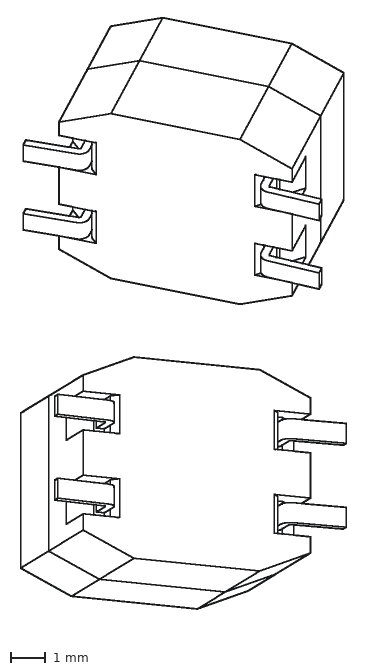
import cadquery as cq
import math

OVERALL_X = 9.0
LEAD_STANDOFF = 0.405

BODY_WIDTH = 7.09
BODY_HEIGHT = 6.0
BODY_DEPTH = 4.8
TOP_FLAT_WIDTH = 3.92
SIDE_FLAT_HEIGHT = 4.63
COVER_DEPTH = 2.15
BASE_DEPTH = BODY_DEPTH - COVER_DEPTH

LEAD_PITCH = 2.5
POCKET_HEIGHT = 1.15
POCKET_REACH = 1.13
WALL_REACH = 0.94
SLOPE_REACH = 0.6
MOUTH_DEPTH = 1.29
FLOOR_DEPTH = 0.675
LIP_DEPTH = 0.21

LEAD_WIDTH = 0.59
LEAD_THICKNESS = 0.25
FOOT_TILT = 3.0
OUTER_BEND_RADIUS = 0.31
INNER_BEND_RADIUS = OUTER_BEND_RADIUS - LEAD_THICKNESS

SIDE_X = BODY_WIDTH / 2
TIP_X = OVERALL_X / 2
WALL_X = SIDE_X - WALL_REACH
ROW_HEIGHTS = [-LEAD_PITCH / 2, LEAD_PITCH / 2]


def octagon_block(front_y, depth):
    """Octagonal prism that runs from front_y toward +Y."""
    top_x = TOP_FLAT_WIDTH / 2
    top_z = BODY_HEIGHT / 2
    side_z = SIDE_FLAT_HEIGHT / 2
    outline = [
        (-top_x, top_z), (top_x, top_z), (SIDE_X, side_z), (SIDE_X, -side_z),
        (top_x, -top_z), (-top_x, -top_z), (-SIDE_X, -side_z), (-SIDE_X, side_z),
    ]
    return cq.Workplane("XZ", origin=(0, front_y, 0)).polyline(outline).close().extrude(-depth)


def extrude_at_height(profile, center_z, height):
    """Extrude a closed XY outline by height, centred on center_z."""
    base = cq.Workplane("XY").workplane(offset=center_z - height / 2)
    return base.polyline(profile).close().extrude(height)


def lead_pocket(side, center_z):
    """Cutter for one pocket; side is +1 for the +X side and -1 for -X."""
    profile = [
        (SIDE_X, 0),
        (SIDE_X, MOUTH_DEPTH),
        (SIDE_X - SLOPE_REACH, FLOOR_DEPTH),
        (WALL_X, FLOOR_DEPTH),
        (WALL_X, LIP_DEPTH),
        (SIDE_X - POCKET_REACH, 0),
    ]
    return extrude_at_height([(side * x, y) for x, y in profile], center_z, POCKET_HEIGHT)


def make_base():
    """Front part of the housing with the four lead pockets."""
    base = octagon_block(0, BASE_DEPTH)
    for side in (-1, 1):
        for z in ROW_HEIGHTS:
            base = base.cut(lead_pocket(side, z))
    return base


def round_bend(lead, x, y, z, radius):
    """Fillet the vertical edge of a lead nearest to the given point."""
    corner = cq.selectors.NearestToPointSelector((x, y, z))
    return lead.edges("|Z").edges(corner).fillet(radius)


def make_lead(side, center_z):
    """Lead that stands on the pocket floor and bends outward into a tilted foot."""
    slope = math.tan(math.radians(FOOT_TILT))
    foot_rise = LEAD_THICKNESS / math.cos(math.radians(FOOT_TILT))
    stem_outer_x = WALL_X + LEAD_THICKNESS
    heel_y = -LEAD_STANDOFF + slope * (TIP_X - WALL_X)
    inner_corner_y = -LEAD_STANDOFF + foot_rise + slope * (TIP_X - stem_outer_x)
    profile = [
        (WALL_X, FLOOR_DEPTH),
        (WALL_X, heel_y),
        (TIP_X, -LEAD_STANDOFF),
        (TIP_X, -LEAD_STANDOFF + foot_rise),
        (stem_outer_x, inner_corner_y),
        (stem_outer_x, FLOOR_DEPTH),
    ]
    lead = extrude_at_height([(side * x, y) for x, y in profile], center_z, LEAD_WIDTH)
    lead = round_bend(lead, side * WALL_X, heel_y, center_z, OUTER_BEND_RADIUS)
    return round_bend(lead, side * stem_outer_x, inner_corner_y, center_z, INNER_BEND_RADIUS)


base = make_base()
cover = octagon_block(BASE_DEPTH, COVER_DEPTH)
leads = [make_lead(side, z) for side in (-1, 1) for z in ROW_HEIGHTS]

result = cq.Compound.makeCompound([base.val(), cover.val(), *[lead.val() for lead in leads]])